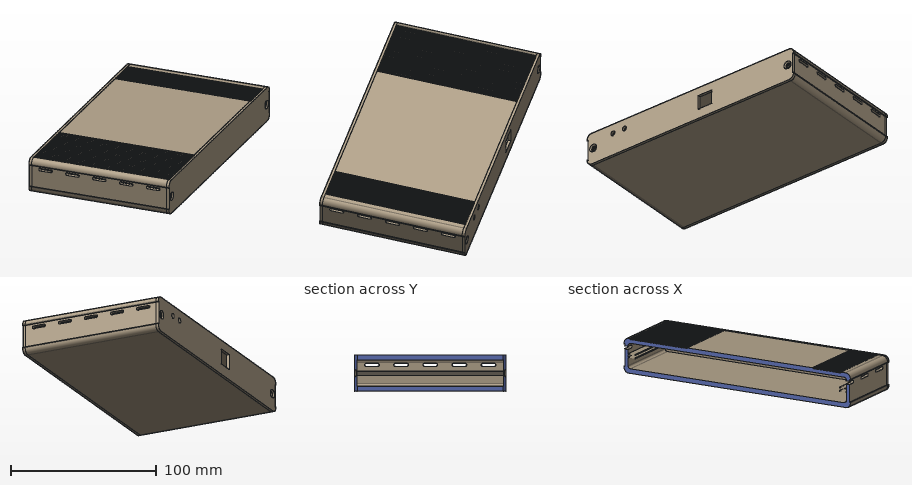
import cadquery as cq
LENGTH_X = 104.0
WIDTH_Y = 180.0
HEIGHT_Z = 25.0
CORNER_RADIUS = 4.0
LIP_HEIGHT = 0.63
SIDE_RECESS = 0.63

PLATE_THICKNESS = 2.0
SCREW_Y = 84.8
SCREW_DIAMETER = 4.0
SCREW_HEAD_DIAMETER = 6.0
LED_DIAMETER = 3.5
LED_POSITIONS_Y = (67.5, 57.5)
LED_Z = 5.0
WINDOW_WIDTH = 11.7
WINDOW_HEIGHT = 11.0
WINDOW_Y = -12.8
WINDOW_Z = 0.5

WALL = 3.6
INNER_RADIUS = 1.8
RIB_GAP = 1.6
RIB_THICKNESS = 0.7
RIB_REACH = 3.6

VENT_COUNT = 5
VENT_PITCH = 20.0
VENT_LENGTH = 9.9
VENT_HEIGHT = 2.0
VENT_Z = 5.5

FIN_DEPTH = 0.63
FIN_WIDTH = 1.0
REAR_FINS_SPAN = 22.5
REAR_FIN_COUNT = 9
FRONT_FINS_SPAN = 45.0
FRONT_FIN_COUNT = 22
LABEL_WIDTH = 100.0
LABEL_DEPTH = 0.09

HALF_Y = WIDTH_Y / 2
TOP_Z = HEIGHT_Z / 2
PLATE_FACE_X = -LENGTH_X / 2
BODY_LENGTH = LENGTH_X - 2 * PLATE_THICKNESS
FLAT_Y = HALF_Y - SIDE_RECESS
CAVITY_HALF_Y = HALF_Y - WALL
FIN_FLOOR_Z = TOP_Z - FIN_DEPTH
LABEL_FRONT = CORNER_RADIUS + FIN_WIDTH + FRONT_FINS_SPAN - HALF_Y
LABEL_REAR = LABEL_FRONT + LABEL_WIDTH
REAR_FINS_START = LABEL_REAR - FIN_WIDTH / 2 + REAR_FINS_SPAN


def bar(y_min, y_max, z_min, z_max, length=BODY_LENGTH):
    """Straight bar along X, centred on X = 0."""
    return cq.Workplane("XY").box(length, y_max - y_min, z_max - z_min).translate(
        (0, (y_min + y_max) / 2, (z_min + z_max) / 2)
    )


def outer_section(length):
    """Enclosure outline extruded along X, centred on X = 0."""
    section = bar(-HALF_Y, HALF_Y, -TOP_Z, TOP_Z, length).edges("|X").fillet(CORNER_RADIUS)
    flat_half_z = TOP_Z - CORNER_RADIUS - LIP_HEIGHT
    for y_min in (FLAT_Y, -HALF_Y):
        section = section.cut(bar(y_min, y_min + SIDE_RECESS, -flat_half_z, flat_half_z, length))
    return section


def screw_ribs():
    """Pairs of ribs on the long inner walls that the screws cut into."""
    tip_y = SCREW_Y - RIB_REACH
    inner_z = RIB_GAP / 2
    outer_z = inner_z + RIB_THICKNESS
    ribs = []
    for y_min, y_max in ((tip_y, CAVITY_HALF_Y), (-CAVITY_HALF_Y, -tip_y)):
        ribs.append(bar(y_min, y_max, inner_z, outer_z))
        ribs.append(bar(y_min, y_max, -outer_z, -inner_z))
    return ribs


def rear_groove_cutters():
    """Square grooves that leave the flat-topped rear fins."""
    pitch = REAR_FINS_SPAN / REAR_FIN_COUNT
    cutters = []
    for i in range(REAR_FIN_COUNT):
        start = REAR_FINS_START - i * pitch
        cutters.append(bar(start - pitch + FIN_WIDTH, start, FIN_FLOOR_Z, TOP_Z))
    return cutters


def front_groove_cutter():
    """Trough minus its round-topped fins, with gaps as wide as the fins."""
    band = FRONT_FINS_SPAN / (2 * FRONT_FIN_COUNT + 1)
    radius = band / 2
    cutter = bar(LABEL_FRONT - FRONT_FINS_SPAN, LABEL_FRONT, FIN_FLOOR_Z, TOP_Z)
    for i in range(FRONT_FIN_COUNT):
        y = LABEL_FRONT - (2 * i + 1) * band - radius
        fin = (
            cq.Workplane("YZ", origin=(-BODY_LENGTH / 2, 0, 0))
            .moveTo(y - radius, FIN_FLOOR_Z)
            .lineTo(y - radius, TOP_Z - radius)
            .threePointArc((y, TOP_Z), (y + radius, TOP_Z - radius))
            .lineTo(y + radius, FIN_FLOOR_Z)
            .close()
            .extrude(BODY_LENGTH)
        )
        cutter = cutter.cut(fin)
    return cutter


def vent_cutter():
    """Row of round-ended slots running through both long sides."""
    return (
        cq.Workplane("XZ", origin=(0, HALF_Y, VENT_Z))
        .rarray(VENT_PITCH, 1.8, VENT_COUNT, 1)
        .slot2D(VENT_LENGTH, VENT_HEIGHT)
        .extrude(WIDTH_Y)
    )


def make_body():
    """Hollow tube with screw ribs, cooling fins, label recess and vents."""
    tube = outer_section(BODY_LENGTH)
    cavity = bar(-CAVITY_HALF_Y, CAVITY_HALF_Y, WALL - TOP_Z, TOP_Z - WALL)
    tube = tube.cut(cavity.edges("|X").fillet(INNER_RADIUS))
    for rib in screw_ribs():
        tube = tube.union(rib)
    for cutter in rear_groove_cutters():
        tube = tube.cut(cutter)
    tube = tube.cut(front_groove_cutter())
    tube = tube.cut(bar(LABEL_FRONT, LABEL_REAR, TOP_Z - LABEL_DEPTH, TOP_Z))
    return tube.cut(vent_cutter())


def screw_cutter(y):
    """Countersunk screw hole entering the -X face."""
    start = cq.Vector(PLATE_FACE_X, y, 0)
    direction = cq.Vector(1, 0, 0)
    head_radius = SCREW_HEAD_DIAMETER / 2
    hole_radius = SCREW_DIAMETER / 2
    head = cq.Solid.makeCone(head_radius, hole_radius, head_radius - hole_radius, start, direction)
    hole = cq.Solid.makeCylinder(hole_radius, PLATE_THICKNESS, start, direction)
    return cq.Workplane(head.fuse(hole))


def make_plate():
    """Plate on the -X end with its two countersunk screw holes."""
    plate = outer_section(PLATE_THICKNESS).translate((PLATE_FACE_X + PLATE_THICKNESS / 2, 0, 0))
    for y in (-SCREW_Y, SCREW_Y):
        plate = plate.cut(screw_cutter(y))
    return plate


def cut_ports(plate):
    """Cut the LED holes and the connector window through the -X plate."""
    plane = cq.Plane.YZ(origin=(PLATE_FACE_X, 0, 0))
    leds = (
        cq.Workplane(plane)
        .pushPoints([(y, LED_Z) for y in LED_POSITIONS_Y])
        .circle(LED_DIAMETER / 2)
        .extrude(PLATE_THICKNESS)
    )
    window = (
        cq.Workplane(plane)
        .center(WINDOW_Y, WINDOW_Z)
        .rect(WINDOW_WIDTH, WINDOW_HEIGHT)
        .extrude(PLATE_THICKNESS)
    )
    return plate.cut(leds).cut(window)


body = make_body()
plain_plate = make_plate()
port_plate = cut_ports(plain_plate)
far_plate = plain_plate.mirror("YZ")

result = cq.Compound.makeCompound([body.val(), port_plate.val(), far_plate.val()])